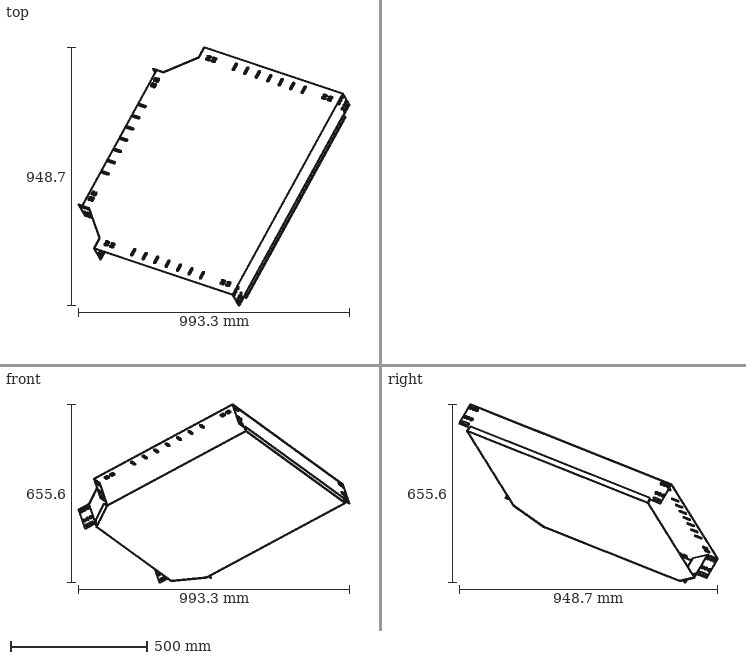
import cadquery as cq
import math

SHEET = 1.5

HALF_WIDTH = 301.0
HALF_LENGTH = 445.0
CORNER_END = 401.0
BRANCH_SHEET_SETBACK = 16.0

WALL_HEIGHT = 100.0
TAB_HEIGHT = 86.0

LIP_HEIGHT = 22.0
STRAIGHT_LIP_TAPER = 4.0
CORNER_LIP_TAPER = 18.0

END_INSET = 35.0
SLOT_LENGTH = 30.0
SLOT_WIDTH = 7.0
SLOT_COUNT = 7
SLOT_PITCH = 50.0

GROUP_OFFSET = 252.0
GROUP_PITCH_ACROSS = 24.0
GROUP_PITCH_ALONG = 11.0
GROUP_HOLE_LENGTH = 15.0
GROUP_HOLE_WIDTH = 7.0

TAB_CENTRE_INSET = 22.0
TAB_HOLE_DIAMETER = 10.0
TAB_HOLE_PITCH = 14.0
TAB_HOLE_DEPTHS = (12.0, 53.0)
TAB_SLOT_DEPTH = 76.0
TAB_SLOT_LENGTH = 30.0
TAB_SLOT_WIDTH = 8.0

TILT = (-21.7, -27.0, -18.5)

SHEET_END = HALF_LENGTH - BRANCH_SHEET_SETBACK
CUT_DEPTH = 4 * SHEET
CORNER_HALF_ANGLE = 22.5
END_TURNS = (0, 180, 90)


def about_z(body, angle):
    return body.rotate((0, 0, 0), (0, 0, 1), angle)


def plan_outline(side, corner_start, corner_end):
    """Rectangle between +side and the branch, with its two branch-side corners cut off."""
    return [
        (side, -corner_end),
        (side, corner_end),
        (-corner_start, corner_end),
        (-corner_end, corner_start),
        (-corner_end, -corner_start),
        (-corner_start, -corner_end),
    ]


def extruded(points, bottom, top):
    return cq.Workplane("XY").workplane(offset=bottom).polyline(points).close().extrude(top - bottom)


def box(x_range, y_range, z_range):
    """Box between the given low and high limits."""
    lows, highs = zip(x_range, y_range, z_range)
    sizes = [high - low for low, high in zip(lows, highs)]
    return cq.Workplane("XY").box(*sizes, centered=False).translate(lows)


def tee(inset, bottom, top):
    """Solid with the tee's plan: main channel, branch and slanted corners, moved in by an inset."""
    half = HALF_WIDTH - inset
    corner_end = CORNER_END - inset * math.tan(math.radians(CORNER_HALF_ANGLE))
    corners = extruded(plan_outline(half, half, corner_end), bottom, top)
    main = box((-half, half), (-HALF_LENGTH, HALF_LENGTH), (bottom, top))
    branch = box((-HALF_LENGTH, 0), (-half, half), (bottom, top))
    return corners.union(main).union(branch)


def sheet_holes():
    """Slot row and the two hole groups of the +Y channel end, in the tray sheet."""
    centre = HALF_LENGTH - END_INSET
    row = [((i - (SLOT_COUNT - 1) / 2) * SLOT_PITCH, centre) for i in range(SLOT_COUNT)]
    group = [
        (side * GROUP_OFFSET + across * GROUP_PITCH_ACROSS / 2, centre + along * GROUP_PITCH_ALONG / 2)
        for side in (-1, 1)
        for across in (-1, 1)
        for along in (-1, 1)
    ]
    plane = cq.Workplane("XY").workplane(offset=-CUT_DEPTH / 2)
    slots = plane.pushPoints(row).slot2D(SLOT_LENGTH, SLOT_WIDTH, 90).extrude(CUT_DEPTH)
    holes = plane.pushPoints(group).slot2D(GROUP_HOLE_LENGTH, GROUP_HOLE_WIDTH).extrude(CUT_DEPTH)
    return slots.union(holes)


def tab_holes():
    """Holes and slots through both splice tabs of the +Y channel end."""
    centre = HALF_LENGTH - TAB_CENTRE_INSET
    holes = [(centre + i * TAB_HOLE_PITCH, -depth) for depth in TAB_HOLE_DEPTHS for i in (-1, 0, 1)]
    plane = cq.Workplane("YZ").workplane(offset=-HALF_WIDTH - CUT_DEPTH)
    reach = 2 * (HALF_WIDTH + CUT_DEPTH)
    rounds = plane.pushPoints(holes).circle(TAB_HOLE_DIAMETER / 2).extrude(reach)
    slot = plane.center(centre, -TAB_SLOT_DEPTH).slot2D(TAB_SLOT_LENGTH, TAB_SLOT_WIDTH).extrude(reach)
    return rounds.union(slot)


def make_tray():
    """Folded tray: top sheet, straight far wall, two slanted corner walls and six splice tabs."""
    tray = tee(0, -WALL_HEIGHT, 0)
    tray = tray.cut(tee(SHEET, -WALL_HEIGHT, -SHEET))

    below_tabs = (-WALL_HEIGHT, -TAB_HEIGHT)
    across = (-HALF_LENGTH, HALF_LENGTH)
    for turn in END_TURNS:
        tray = tray.cut(about_z(box(across, (CORNER_END, HALF_LENGTH), below_tabs), turn))
        tray = tray.cut(about_z(sheet_holes(), turn))
        tray = tray.cut(about_z(tab_holes(), turn))

    inner = HALF_WIDTH - SHEET
    setback = box((-HALF_LENGTH, -SHEET_END), (-inner, inner), (-SHEET, 0))
    return tray.cut(setback)


def make_lip(start, end, taper):
    """Cover lip standing on the outside of the wall that runs from start to end in plan."""
    length = math.dist(start, end)
    profile = [
        (0, 0),
        (length, 0),
        (length - taper, LIP_HEIGHT),
        (taper, LIP_HEIGHT),
    ]
    direction = ((end[0] - start[0]) / length, (end[1] - start[1]) / length, 0)
    outward = (direction[1], -direction[0], 0)
    plane = cq.Plane(origin=(*start, -WALL_HEIGHT - SHEET), xDir=direction, normal=outward)
    return cq.Workplane(plane).polyline(profile).close().extrude(SHEET)


def make_cover():
    """Cover sheet closing the walls from below, with a lip outside each wall."""
    outline = plan_outline(HALF_WIDTH, HALF_WIDTH, CORNER_END)
    cover = extruded(outline, -WALL_HEIGHT - SHEET, -WALL_HEIGHT)
    walls = (
        (0, 1, STRAIGHT_LIP_TAPER),
        (2, 3, CORNER_LIP_TAPER),
        (4, 5, CORNER_LIP_TAPER),
    )
    for start, end, taper in walls:
        cover = cover.union(make_lip(outline[start], outline[end], taper))
    return cover


def tilted(body):
    for axis, angle in zip(((1, 0, 0), (0, 1, 0), (0, 0, 1)), TILT):
        body = body.rotate((0, 0, 0), axis, angle)
    return body


tray = tilted(make_tray())
cover = tilted(make_cover())
result = cq.Compound.makeCompound([tray.val(), cover.val()])